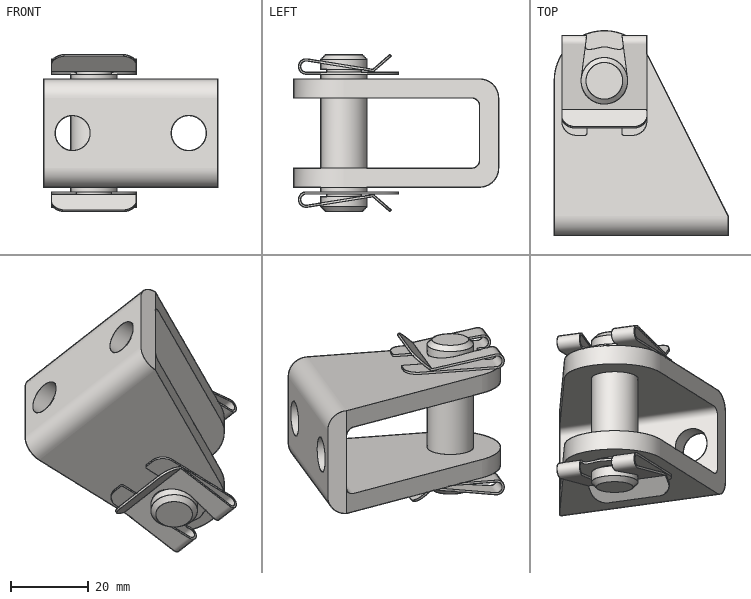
import cadquery as cq
import math

bracket_length = 45.0
bracket_depth = 52.95
bracket_height = 28.0
plate = 5.0
bend_outer_radius = plate
bend_inner_radius = 2.0
ear_radius = 13.0
mount_hole_diameter = 9.0
mount_hole_edge = 7.5

pin_x = ear_radius
pin_y = bracket_depth - ear_radius
pin_diameter = 12.0
pin_length = 40.6
pin_chamfer = 1.25
groove_diameter = 9.0
groove_width = 1.25

overall_height = 40.65
clip_thickness = 0.6
clip_width = 22.0
clip_gap = 1.15
clip_front = -14.1
clip_back = 11.75
loop_outer_radius = 2.0
fold_y = -7.65
fold_gap = 0.1
lip_angle = math.radians(41)
clip_corner_radius = 3.7
slot_corner_radius = 0.55
notch_mouth_half_width = 4.55
tongue_half_width = 4.0
tongue_shoulder_y = 8.1
tongue_tip_y = 8.8
tongue_corner_radius = 0.85

pin_radius = pin_diameter / 2
clip_bottom = bracket_height / 2 + clip_gap
clip_base_top = clip_bottom + clip_thickness
clip_half_width = clip_width / 2
loop_inner_radius = loop_outer_radius - clip_thickness
loop_y = clip_back - loop_outer_radius
loop_z = clip_bottom + loop_outer_radius
clip_tip_z = overall_height / 2


def make_bracket():
    inner_height = bracket_height - 2 * plate
    bent_plate = (
        cq.Workplane("XY")
        .box(bracket_length, bracket_depth, bracket_height, centered=(False, False, True))
        .edges("|X and <Y").fillet(bend_outer_radius)
    )
    opening = (
        cq.Workplane("XY").workplane(offset=-inner_height / 2)
        .moveTo(0, plate).rect(bracket_length, bracket_depth, centered=False)
        .extrude(inner_height)
        .edges("|X and <Y").fillet(bend_inner_radius)
    )

    slope_run = bracket_length - pin_x
    slope_rise = pin_y - bend_outer_radius
    slope_distance = math.hypot(slope_run, slope_rise)
    tangent_angle = math.acos(ear_radius / slope_distance) - math.atan2(slope_rise, slope_run)
    tangent_point = (
        pin_x + ear_radius * math.cos(tangent_angle),
        pin_y + ear_radius * math.sin(tangent_angle),
    )
    side_outline = (
        cq.Workplane("XY").workplane(offset=-bracket_height / 2)
        .lineTo(bracket_length, 0)
        .lineTo(bracket_length, bend_outer_radius)
        .lineTo(*tangent_point)
        .threePointArc((pin_x, bracket_depth), (0, pin_y))
        .close().extrude(bracket_height)
    )

    pin_holes = (
        cq.Workplane("XY").workplane(offset=-bracket_height / 2)
        .center(pin_x, pin_y).circle(pin_radius).extrude(bracket_height)
    )
    mount_holes = (
        cq.Workplane("XZ")
        .pushPoints([(mount_hole_edge, 0), (bracket_length - mount_hole_edge, 0)])
        .circle(mount_hole_diameter / 2).extrude(-plate)
    )
    return bent_plate.cut(opening).intersect(side_outline).cut(pin_holes).cut(mount_holes)


def make_pin():
    pin = (
        cq.Workplane("XY").workplane(offset=-pin_length / 2)
        .circle(pin_radius).extrude(pin_length)
        .faces("<Z or >Z").chamfer(pin_chamfer)
    )
    for groove_bottom in (clip_bottom, -clip_bottom - groove_width):
        groove = (
            cq.Workplane("XY").workplane(offset=groove_bottom)
            .circle(pin_radius).circle(groove_diameter / 2).extrude(groove_width)
        )
        pin = pin.cut(groove)
    return pin.translate((pin_x, pin_y, 0))


def make_clip_strip():
    """Folded strip: flat base, rolled loop, sprung leg and turned-up lip."""
    fold_z = clip_base_top + fold_gap
    loop_run = loop_y - fold_y
    loop_rise = loop_z - fold_z
    leg_angle = math.atan2(loop_rise, loop_run) + math.asin(
        loop_inner_radius / math.hypot(loop_run, loop_rise)
    )

    def on_leg_normal(radius):
        return (loop_y - radius * math.sin(leg_angle), loop_z + radius * math.cos(leg_angle))

    def on_loop_back(radius):
        return (loop_y + radius, loop_z)

    mitre_angle = (leg_angle + math.pi - lip_angle) / 2
    mitre_length = clip_thickness / math.sin(mitre_angle - leg_angle)
    fold_top = (
        fold_y + mitre_length * math.cos(mitre_angle),
        fold_z + mitre_length * math.sin(mitre_angle),
    )
    tip_top = (fold_top[0] - (clip_tip_z - fold_top[1]) / math.tan(lip_angle), clip_tip_z)
    tip_bottom = (
        tip_top[0] - clip_thickness * math.sin(lip_angle),
        tip_top[1] - clip_thickness * math.cos(lip_angle),
    )

    strip = (
        cq.Workplane("YZ").workplane(offset=-clip_half_width)
        .moveTo(clip_front, clip_bottom)
        .lineTo(loop_y, clip_bottom)
        .threePointArc(on_loop_back(loop_outer_radius), on_leg_normal(loop_outer_radius))
        .lineTo(*fold_top)
        .lineTo(*tip_top)
        .lineTo(*tip_bottom)
        .lineTo(fold_y, fold_z)
        .lineTo(*on_leg_normal(loop_inner_radius))
        .threePointArc(on_loop_back(loop_inner_radius), (loop_y, clip_base_top))
        .lineTo(clip_front, clip_base_top)
        .close().extrude(clip_width)
    )

    lip_normal = cq.Vector(0, math.sin(lip_angle), math.cos(lip_angle))
    lip_corners = [
        edge for edge in strip.edges(cq.selectors.ParallelDirSelector(lip_normal)).vals()
        if edge.Center().z > loop_z
    ]
    strip = strip.edges("|Z and <Y").fillet(clip_corner_radius)
    return strip.newObject(lip_corners).fillet(clip_corner_radius)


def make_base_slot():
    """Open slot that slides over the groove of the pin."""
    slot_half_width = groove_diameter / 2
    mouth = slot_half_width + slot_corner_radius
    mouth_inner_y = clip_front + slot_corner_radius
    corner_middle = slot_half_width + slot_corner_radius * (1 - math.sqrt(0.5))
    corner_middle_y = clip_front + slot_corner_radius * (1 - math.sqrt(0.5))
    return (
        cq.Workplane("XY").workplane(offset=clip_bottom)
        .moveTo(-mouth, clip_front)
        .lineTo(mouth, clip_front)
        .threePointArc((corner_middle, corner_middle_y), (slot_half_width, mouth_inner_y))
        .lineTo(slot_half_width, 0)
        .threePointArc((0, slot_half_width), (-slot_half_width, 0))
        .lineTo(-slot_half_width, mouth_inner_y)
        .threePointArc((-corner_middle, corner_middle_y), (-mouth, clip_front))
        .close().extrude(clip_thickness)
    )


def make_clip_notches():
    """Tapered opening through leg and loop, and the notch it leaves behind the base tongue."""
    mouth_distance = math.hypot(notch_mouth_half_width, clip_back)
    side_angle = math.atan2(clip_back, notch_mouth_half_width) - math.acos(pin_radius / mouth_distance)
    side_x = pin_radius * math.cos(side_angle)
    side_y = pin_radius * math.sin(side_angle)
    leg_opening = (
        cq.Workplane("XY").workplane(offset=clip_base_top)
        .moveTo(notch_mouth_half_width, clip_back)
        .lineTo(side_x, side_y)
        .threePointArc((0, -pin_radius), (-side_x, side_y))
        .lineTo(-notch_mouth_half_width, clip_back)
        .close().extrude(2 * loop_outer_radius)
    )

    corner_y = tongue_shoulder_y + tongue_corner_radius
    taper = (side_x - notch_mouth_half_width) / (clip_back - side_y)
    corner_x = notch_mouth_half_width + taper * (clip_back - corner_y)
    base_notch = (
        cq.Workplane("XY").workplane(offset=clip_bottom)
        .moveTo(notch_mouth_half_width, clip_back)
        .lineTo(-notch_mouth_half_width, clip_back)
        .lineTo(-corner_x, corner_y)
        .tangentArcPoint((-tongue_half_width, tongue_shoulder_y), relative=False)
        .spline(
            [(0, tongue_tip_y), (tongue_half_width, tongue_shoulder_y)],
            tangents=[(1, 0), (1, 0)], includeCurrent=True,
        )
        .tangentArcPoint((corner_x, corner_y), relative=False)
        .close().extrude(clip_thickness)
    )
    return leg_opening.union(base_notch)


def make_clip():
    clip = make_clip_strip().cut(make_base_slot()).cut(make_clip_notches())
    return clip.translate((pin_x, pin_y, 0))


bracket = make_bracket()
pin = make_pin()

clips = []
for below in (False, True):
    clip = make_clip()
    if below:
        clip = clip.mirror("XY")
    clips.append(clip.val())

result = cq.Compound.makeCompound([bracket.val(), pin.val(), *clips])